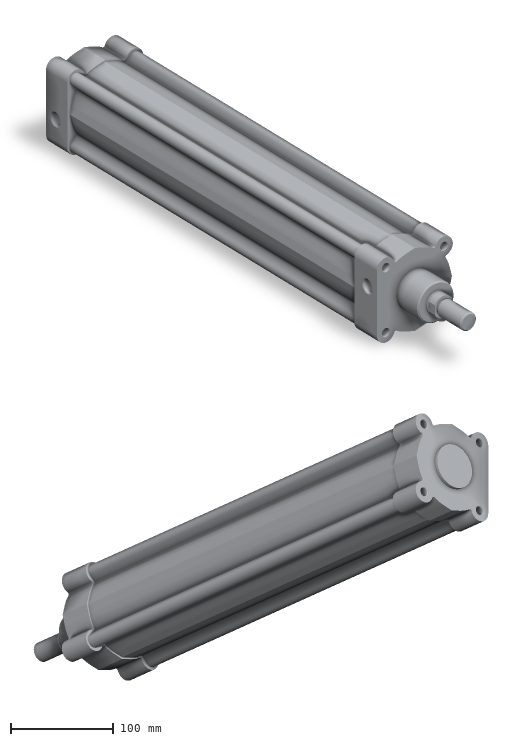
import cadquery as cq
import math


boss_length = 4.0
rear_cap_length = 34.0
front_cap_length = 36.0
caps_span = 528.0
collar_length = 34.0
rod_exposed_length = 46.0
thread_length = 40.0

rear_cap_start = boss_length
barrel_start = rear_cap_start + rear_cap_length
front_cap_end = rear_cap_start + caps_span
barrel_end = front_cap_end - front_cap_length
collar_end = front_cap_end + collar_length
rod_shoulder = front_cap_end + rod_exposed_length
rod_tip = rod_shoulder + thread_length

cap_size = 94.0
cap_round_radius = 44.5
cap_ridge_half_width = 11.17
screw_pitch = 72.0
screw_offset = screw_pitch / 2
lug_radius = cap_size / 2 - screw_offset
lug_root_fillet = 2.0
screw_hole_diameter = 8.5
screw_mouth_diameter = 10.0
screw_hole_depth = 16.0
boss_diameter = 45.0
collar_chamfer = 1.5

port_diameter = 15.0
port_mouth_diameter = 16.6
port_depth = 12.0
port_inset = 15.0
port_height = 12.5

barrel_radius = 43.0
barrel_ridge_half_width = 9.3
rib_offset = 37.0
rib_radius = 7.0
rib_root_fillet = 2.0

rod_diameter = 25.0
wrench_section_diameter = 24.5
wrench_width = 22.0
wrench_section_start = collar_end + 2.0
thread_diameter = 20.0
thread_chamfer = 1.5
undercut_diameter = thread_diameter - 2 * thread_chamfer
undercut_length = 2.0

corners = [(y, z) for y in (-screw_offset, screw_offset) for z in (-screw_offset, screw_offset)]


def cylinder(start, end, diameter):
    """Round bar on the X axis between two stations."""
    return cq.Workplane("YZ", origin=(start, 0, 0)).circle(diameter / 2).extrude(end - start)


def ridged_bar(start, end, radius, ridge_half_width):
    """Round bar with a shallow ridge, formed by two tangent flats, on each of its four sides."""
    half_angle = math.asin(ridge_half_width / radius)
    peak = radius / math.cos(half_angle)

    def on_circle(angle):
        return radius * math.cos(angle), radius * math.sin(angle)

    outline = cq.Workplane("YZ", origin=(start, 0, 0)).moveTo(*on_circle(-half_angle))
    for quarter in range(4):
        middle = quarter * math.pi / 2
        outline = (
            outline.lineTo(peak * math.cos(middle), peak * math.sin(middle))
            .lineTo(*on_circle(middle + half_angle))
            .threePointArc(on_circle(middle + math.pi / 4), on_circle(middle + math.pi / 2 - half_angle))
        )
    return outline.close().extrude(end - start)


def make_cap_block(start, length):
    """Round block with four corner lugs and a flat side towards -Y."""
    plane = cq.Workplane("YZ", origin=(start, 0, 0))
    block = ridged_bar(start, start + length, cap_round_radius, cap_ridge_half_width)
    block = block.union(plane.pushPoints(corners).circle(lug_radius).extrude(length))
    flat_side = plane.center(-cap_size / 4, 0).rect(cap_size / 2, screw_pitch).extrude(length)
    block = block.union(flat_side)

    lug_reach = math.hypot(screw_offset, screw_offset)
    root_cosine = (lug_reach**2 + cap_round_radius**2 - lug_radius**2) / (2 * lug_reach * cap_round_radius)
    root_half_angle = math.acos(root_cosine)
    lug_angle = math.pi / 4
    root_angles = [
        lug_angle - root_half_angle,
        lug_angle + root_half_angle,
        math.pi - lug_angle - root_half_angle,
    ]
    for angle in root_angles:
        for side in (-1, 1):
            root_y = cap_round_radius * math.cos(angle)
            root_z = side * cap_round_radius * math.sin(angle)
            root = (start + length / 2, root_y, root_z)
            block = block.edges(cq.selectors.NearestToPointSelector(root)).fillet(lug_root_fillet)
    return block


def make_countersunk_hole(diameter, mouth_diameter, depth):
    """Solid to cut away: a flat-bottomed hole from the origin along +X, countersunk at its mouth."""
    countersink_depth = (mouth_diameter - diameter) / 2
    return (
        cq.Workplane("XY")
        .lineTo(0, mouth_diameter / 2)
        .lineTo(countersink_depth, diameter / 2)
        .lineTo(depth, diameter / 2)
        .lineTo(depth, 0)
        .close()
        .revolve(360, (0, 0, 0), (1, 0, 0))
    )


def cut_screw_holes(cap, face, turn):
    """Blind hole in each lug at a cap's outer face; turn is the heading about Z, 0 for +X and 180 for -X."""
    hole = make_countersunk_hole(screw_hole_diameter, screw_mouth_diameter, screw_hole_depth)
    hole = hole.rotate((0, 0, 0), (0, 0, 1), turn)
    for y, z in corners:
        cap = cap.cut(hole.translate((face, y, z)))
    return cap


def cut_port(cap, x, z):
    """Blind round port entering at the flat -Y side."""
    port = make_countersunk_hole(port_diameter, port_mouth_diameter, port_depth)
    port = port.rotate((0, 0, 0), (0, 0, 1), 90)
    return cap.cut(port.translate((x, -cap_size / 2, z)))


def make_rear_cap():
    """Rear cap with its centring boss, screw holes and port."""
    cap = make_cap_block(rear_cap_start, rear_cap_length)
    cap = cap.union(cylinder(0, rear_cap_start, boss_diameter))
    cap = cut_screw_holes(cap, rear_cap_start, 0)
    return cut_port(cap, rear_cap_start + port_inset, -port_height)


def make_front_cap():
    """Front cap with its collar, screw holes, port and the bore that guides the rod."""
    cap = make_cap_block(barrel_end, front_cap_length)
    collar = cylinder(front_cap_end, collar_end, boss_diameter).faces(">X").chamfer(collar_chamfer)
    cap = cap.union(collar)
    cap = cut_screw_holes(cap, front_cap_end, 180)
    cap = cut_port(cap, front_cap_end - port_inset, port_height)
    return cap.cut(cylinder(barrel_end, collar_end, rod_diameter))


def make_barrel():
    """Round bar with a rounded rib at each corner, the rib roots filleted."""
    length = barrel_end - barrel_start
    barrel = ridged_bar(barrel_start, barrel_end, barrel_radius, barrel_ridge_half_width)
    rib_reach = math.hypot(rib_offset, rib_offset)
    rib = (
        cq.Workplane("YZ", origin=(barrel_start, 0, 0))
        .moveTo(0, -rib_radius)
        .lineTo(rib_reach, -rib_radius)
        .threePointArc((rib_reach + rib_radius, 0), (rib_reach, rib_radius))
        .lineTo(0, rib_radius)
        .close()
        .extrude(length)
    )
    rib_angles = [45 + 90 * quarter for quarter in range(4)]
    for angle in rib_angles:
        barrel = barrel.union(rib.rotate((0, 0, 0), (1, 0, 0), angle))

    root_half_angle = math.degrees(math.asin(rib_radius / barrel_radius))
    mid_length = (barrel_start + barrel_end) / 2
    for angle in rib_angles:
        for side in (-1, 1):
            root_angle = math.radians(angle + side * root_half_angle)
            root = (mid_length, barrel_radius * math.cos(root_angle), barrel_radius * math.sin(root_angle))
            barrel = barrel.edges(cq.selectors.NearestToPointSelector(root)).fillet(rib_root_fillet)
    return barrel


def make_rod():
    """Rod with wrench flats, an undercut and a plain bar for the threaded end."""
    rod = cylinder(barrel_end, wrench_section_start, rod_diameter)
    wrench_section = cylinder(wrench_section_start, rod_shoulder, wrench_section_diameter)
    wrench_length = rod_shoulder - wrench_section_start
    wrench_slab = cq.Workplane("XY").box(wrench_length, wrench_width, rod_diameter)
    wrench_slab = wrench_slab.translate((wrench_section_start + wrench_length / 2, 0, 0))
    rod = rod.union(wrench_section.intersect(wrench_slab))

    thread_start = rod_shoulder + undercut_length
    thread = cylinder(thread_start, rod_tip, thread_diameter).faces("<X or >X").chamfer(thread_chamfer)
    return rod.union(cylinder(rod_shoulder, thread_start, undercut_diameter)).union(thread)


rear_cap = make_rear_cap()
barrel = make_barrel()
front_cap = make_front_cap()
rod = make_rod()

result = cq.Compound.makeCompound([rear_cap.val(), barrel.val(), front_cap.val(), rod.val()])